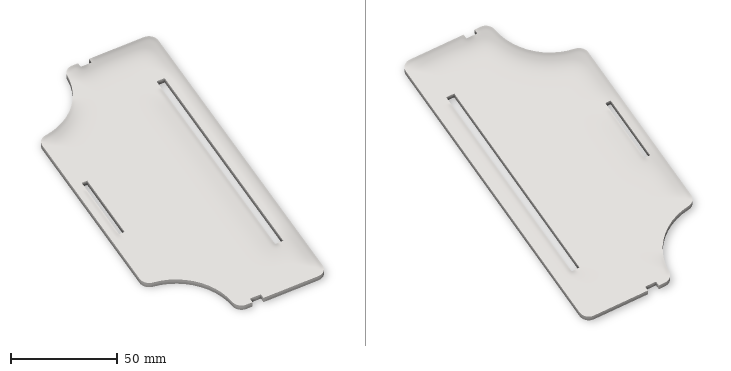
import cadquery as cq

length = 173.5
width = 80.0
thickness = 3.0
corner_radius = 5.0

cutout_radius = 31.5
cutout_inset = 2.0

notch_depth = 2.6
notch_width = 5.9
notch_from_rear = 34.3

rear_slot_length = 118.0
rear_slot_width = 4.3
rear_slot_from_rear = 8.8
front_slot_length = 37.1
front_slot_width = 3.0
front_slot_from_front = 5.0

rear_y = width / 2
front_y = -width / 2
side_x = length / 2


def rectangle_cutter(size_x, size_y, center_x, center_y):
    """Rectangular block that passes through the full plate thickness."""
    return (
        cq.Workplane("XY")
        .center(center_x, center_y)
        .rect(size_x, size_y)
        .extrude(thickness)
    )


cutout_x = side_x - cutout_inset
cutouts = (
    cq.Workplane("XY")
    .pushPoints([(-cutout_x, front_y), (cutout_x, front_y)])
    .circle(cutout_radius)
    .extrude(thickness)
)
plate = cq.Workplane("XY").rect(length, width).extrude(thickness).cut(cutouts)
plate = plate.edges("|Z").fillet(corner_radius)

notch_y = rear_y - notch_from_rear - notch_width / 2
for side in (-1, 1):
    plate = plate.cut(rectangle_cutter(2 * notch_depth, notch_width, side * side_x, notch_y))

rear_slot_y = rear_y - rear_slot_from_rear - rear_slot_width / 2
front_slot_y = front_y + front_slot_from_front + front_slot_width / 2
plate = plate.cut(rectangle_cutter(rear_slot_length, rear_slot_width, 0, rear_slot_y))
plate = plate.cut(rectangle_cutter(front_slot_length, front_slot_width, 0, front_slot_y))

result = plate